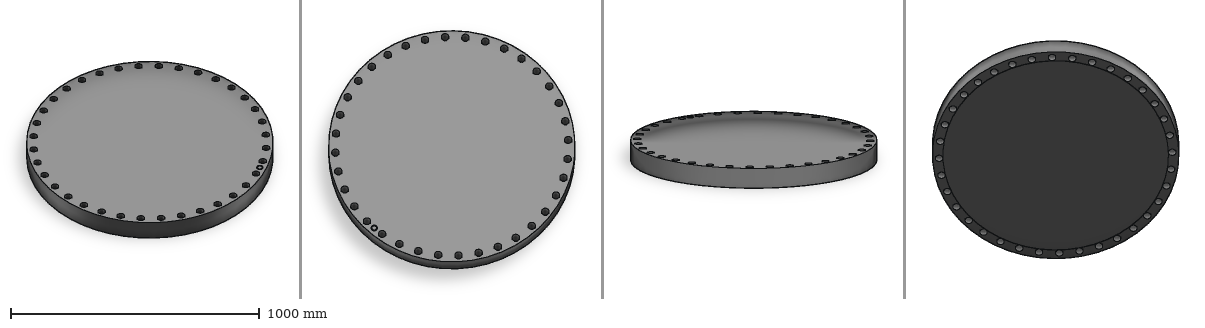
import cadquery as cq

outer_diameter = 990.0
total_height = 84.0
face_diameter = 906.0
face_height = 2.0

bolt_count = 36
bolt_circle_diameter = 937.0
bolt_hole_diameter = 30.0
bolt_pitch_angle = 360.0 / bolt_count

mark_angle = bolt_pitch_angle / 2
mark_outer_diameter = 25.0
mark_groove_width = 3.0
mark_inner_diameter = mark_outer_diameter - 2 * mark_groove_width
mark_depth = 1.0


def make_disc():
    face = cq.Workplane("XY").circle(face_diameter / 2).extrude(face_height)
    plate = (
        cq.Workplane("XY")
        .workplane(offset=face_height)
        .circle(outer_diameter / 2)
        .extrude(total_height - face_height)
    )
    return face.union(plate)


def make_bolt_holes():
    return (
        cq.Workplane("XY")
        .polarArray(bolt_circle_diameter / 2, 0, 360, bolt_count)
        .circle(bolt_hole_diameter / 2)
        .extrude(total_height)
    )


def make_mark_groove():
    return (
        cq.Workplane("XY")
        .workplane(offset=total_height - mark_depth)
        .transformed(rotate=(0, 0, mark_angle))
        .center(bolt_circle_diameter / 2, 0)
        .circle(mark_outer_diameter / 2)
        .circle(mark_inner_diameter / 2)
        .extrude(mark_depth)
    )


result = make_disc().cut(make_bolt_holes()).cut(make_mark_groove())